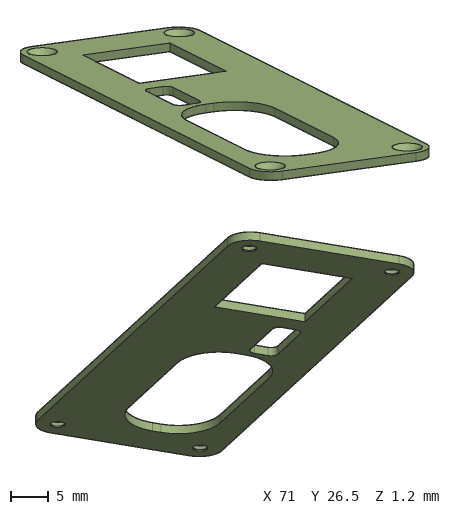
import cadquery as cq

plate_length = 71.0
plate_width = 26.5
plate_thickness = 1.2
corner_radius = 3.25

screw_inset = 3.0
screw_diameter = 2.0
countersink_diameter = 4.0
countersink_angle = 90.0

window_length = 16.0
window_width = 13.0
window_center = (-20.5, 0.25)

port_length = 9.5
port_width = 4.0
port_corner_radius = 1.0
port_center = (-4.75, -5.25)

slot_length = 28.6
slot_width = 13.2
slot_corner_radius = 6.0
slot_center = (15.3, -2.75)


def rounded_block(length, width, radius, center):
    """Block of the plate's thickness with rounded vertical edges."""
    return (
        cq.Workplane("XY")
        .center(*center)
        .rect(length, width)
        .extrude(plate_thickness)
        .edges("|Z")
        .fillet(radius)
    )


def drill_screw_holes(body):
    """Drill the four corner holes, countersunk from the top face."""
    return (
        body.faces(">Z")
        .workplane(origin=(0, 0, plate_thickness))
        .rect(plate_length - 2 * screw_inset, plate_width - 2 * screw_inset, forConstruction=True)
        .vertices()
        .cskHole(screw_diameter, countersink_diameter, countersink_angle)
    )


def window_cutter():
    return (
        cq.Workplane("XY")
        .center(*window_center)
        .rect(window_length, window_width)
        .extrude(plate_thickness)
    )


def port_cutter():
    return rounded_block(port_length, port_width, port_corner_radius, port_center)


def slot_cutter():
    return rounded_block(slot_length, slot_width, slot_corner_radius, slot_center)


plate = rounded_block(plate_length, plate_width, corner_radius, (0, 0))
plate = drill_screw_holes(plate)
result = plate.cut(window_cutter()).cut(port_cutter()).cut(slot_cutter())